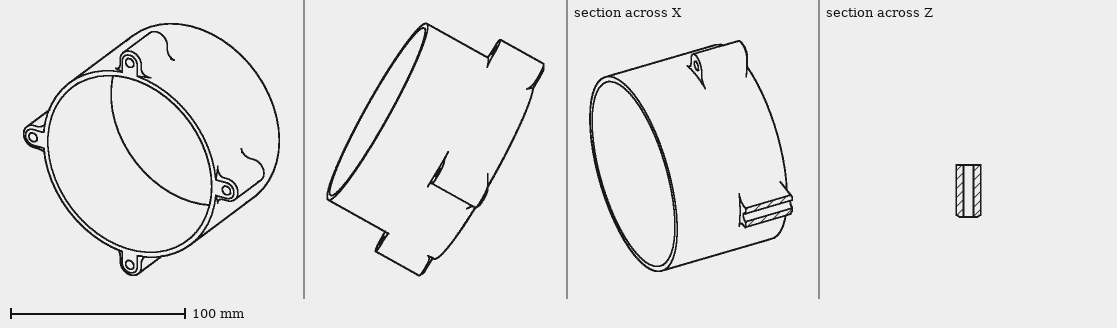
import cadquery as cq
import math

outer_radius = 116.0 / 2
bore_radius = 110.0 / 2
sleeve_length = 70.0

lug_count = 4
lug_reach = 72.0
lug_radius = 7.0
lug_length = 30.0
hole_diameter = 5.5
root_fillet = 6.0
hole_offset = lug_reach - lug_radius

bevel_width = 2.0
bevel_angle = 30.0
bevel_depth = 4.2


def lug_blank():
    """Round-ended lug along +Y, with concave fillets tangent to the sleeve."""
    fillet_x = lug_radius + root_fillet
    center_distance = outer_radius + root_fillet
    fillet_y = math.sqrt(center_distance**2 - fillet_x**2)
    foot_x = fillet_x * outer_radius / center_distance
    foot_y = fillet_y * outer_radius / center_distance
    mid_angle = math.atan2(fillet_y, fillet_x) / 2
    mid_x = fillet_x - root_fillet * math.cos(mid_angle)
    mid_y = fillet_y - root_fillet * math.sin(mid_angle)
    return (
        cq.Workplane("XY")
        .moveTo(0, bore_radius)
        .lineTo(foot_x, foot_y)
        .threePointArc((mid_x, mid_y), (lug_radius, fillet_y))
        .lineTo(lug_radius, hole_offset)
        .threePointArc((0, lug_reach), (-lug_radius, hole_offset))
        .lineTo(-lug_radius, fillet_y)
        .threePointArc((-mid_x, mid_y), (-foot_x, foot_y))
        .close()
        .extrude(lug_length)
    )


def bevel_envelope():
    """Flared nose around the hole axis, with a plain block behind it."""
    nose_radius = lug_radius - bevel_width
    block_width = 4 * lug_radius
    nose = (
        cq.Workplane("XY")
        .moveTo(nose_radius, 0)
        .lineTo(nose_radius, hole_offset)
        .threePointArc((0, hole_offset + nose_radius), (-nose_radius, hole_offset))
        .lineTo(-nose_radius, 0)
        .close()
        .extrude(bevel_depth, taper=bevel_angle - 90)
    )
    block = (
        cq.Workplane("XY", origin=(0, 0, bevel_depth))
        .rect(block_width, 2 * lug_reach)
        .extrude(lug_length - bevel_depth)
    )
    return nose.union(block)


def lug():
    hole = cq.Workplane("XY").center(0, hole_offset).circle(hole_diameter / 2).extrude(lug_length)
    return lug_blank().intersect(bevel_envelope()).cut(hole)


body = cq.Workplane("XY").circle(outer_radius).extrude(sleeve_length)
single_lug = lug()
for index in range(lug_count):
    angle = index * 360 / lug_count
    body = body.union(single_lug.rotate((0, 0, 0), (0, 0, 1), angle))
bore = cq.Workplane("XY").circle(bore_radius).extrude(sleeve_length)

result = body.cut(bore).rotate((0, 0, 0), (1, 0, 0), -90)